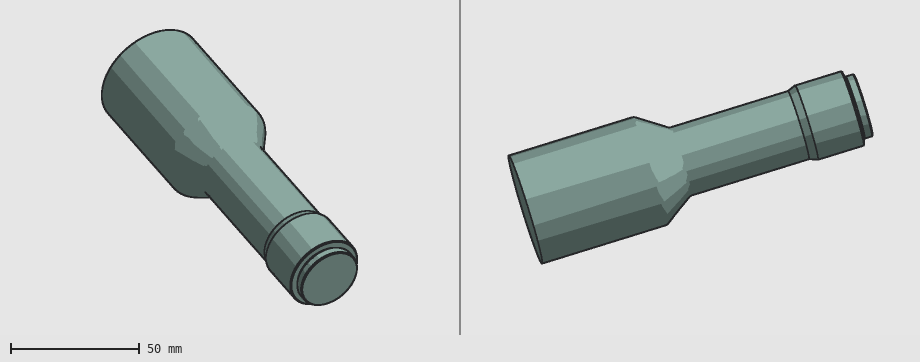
import cadquery as cq

body_radius = 22.0
tube_radius = 13.9
collar_radius = 15.1
groove_radius = 12.1
tip_radius = 12.6

total_length = 137.4
cone_start = 50.8
cone_end = 62.8
shoulder_start = 111.0
collar_start = 114.3
collar_end = 133.3
groove_width = 0.8

cone_blend_radius = 2.0
edge_chamfer = 0.4

left_end = -total_length / 2


def circle_edge_at(position, radius):
    """Selector for the circular edge at a distance from the large end."""
    margin = 0.07
    x = left_end + position
    return cq.selectors.BoxSelector(
        (x - margin, -radius - margin, -radius - margin),
        (x + margin, radius + margin, radius + margin),
        boundingbox=True,
    )


tip_start = collar_end + groove_width
profile = [
    (0, 0),
    (0, body_radius),
    (cone_start, body_radius),
    (cone_end, tube_radius),
    (shoulder_start, tube_radius),
    (collar_start, collar_radius),
    (collar_end, collar_radius),
    (collar_end, groove_radius),
    (tip_start, groove_radius),
    (tip_start, tip_radius),
    (total_length, tip_radius),
    (total_length, 0),
]
turned = (
    cq.Workplane("XY")
    .polyline(profile)
    .close()
    .revolve(360, (0, 0, 0), (1, 0, 0))
    .translate((left_end, 0, 0))
)

for position, radius in [(cone_start, body_radius), (cone_end, tube_radius)]:
    turned = turned.edges(circle_edge_at(position, radius)).fillet(cone_blend_radius)

turned = turned.faces(">X").edges().chamfer(edge_chamfer)
collar_rim = (
    turned.edges(circle_edge_at(collar_end, collar_radius))
    .edges(cq.selectors.RadiusNthSelector(-1))
)
result = collar_rim.chamfer(edge_chamfer)